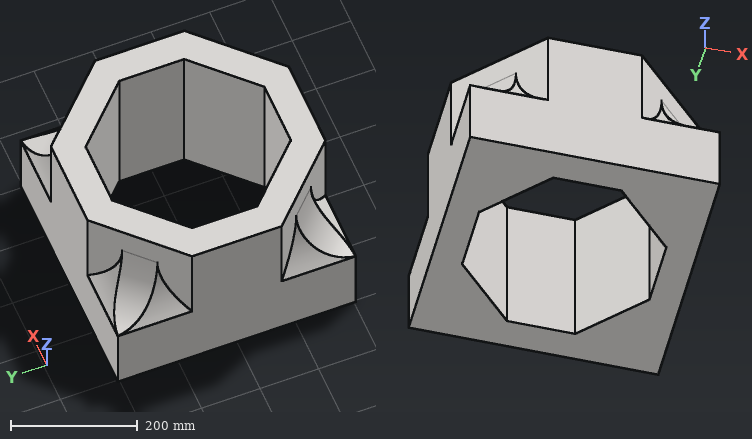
import cadquery as cq
import math

side = 406.5
base_height = 127.0
collar_height = 152.5
wall = 51.0
corner_leg = 127.0

height = base_height + collar_height
spur_height = collar_height - wall
diagonal_reach = corner_leg / math.sqrt(2)
flank_reach = spur_height * (math.sqrt(2) - 1)
embed = wall / 2


def octagonal_prism(width, leg, depth):
    """Square prism about Z with its four vertical edges cut at 45 degrees."""
    return cq.Workplane("XY").rect(width, width).extrude(depth).edges("|Z").chamfer(leg)


def concave_ramp(reach, run, turn):
    """Ramp rising inwards from the base corner at (-side/2, -side/2).

    A concave arc climbs from the corner to a vertical tangent at `reach`.
    The ramp is solid up to `run`, and its inward direction is `turn`
    degrees from X.
    """
    radius = (reach**2 + spur_height**2) / (2 * reach)
    half_angle = math.asin(spur_height / radius) / 2
    arc_mid = (
        reach - radius + radius * math.cos(half_angle),
        spur_height - radius * math.sin(half_angle),
    )
    return (
        cq.Workplane("XZ")
        .moveTo(0, 0)
        .threePointArc(arc_mid, (reach, spur_height))
        .lineTo(run, spur_height)
        .lineTo(run, 0)
        .close()
        .extrude(side / 2, both=True)
        .rotate((0, 0, 0), (0, 0, 1), turn)
        .translate((-side / 2, -side / 2, base_height))
    )


def corner_spur():
    """Spur bounded by two flanks and a diagonal face, all concave cylinders."""
    flank_run = side / 2
    flank_x = concave_ramp(flank_reach, flank_run, 0)
    flank_y = concave_ramp(flank_reach, flank_run, 90)
    diagonal = concave_ramp(diagonal_reach, diagonal_reach + embed, 45)
    return flank_x.intersect(flank_y).intersect(diagonal)


base = cq.Workplane("XY").rect(side, side).extrude(base_height)
body = base.union(octagonal_prism(side, corner_leg, height))

spur = corner_spur()
for quarter in range(4):
    body = body.union(spur.rotate((0, 0, 0), (0, 0, 1), 90 * quarter))

bore_width = side - 2 * wall
bore_leg = corner_leg - (2 - math.sqrt(2)) * wall
result = body.cut(octagonal_prism(bore_width, bore_leg, height))